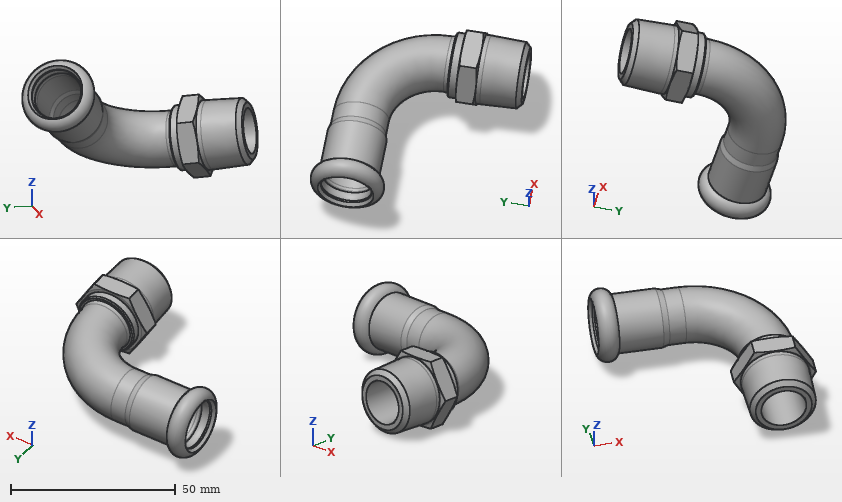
import cadquery as cq
import math

bend_start = 27.15
bend_radius = 22.8
outlet_x = bend_start + bend_radius
tube_diameter = 17.2
tube_bore = 14.2

socket_diameter = 18.3
socket_bore = 15.3
socket_end = 20.05
shoulder_end = 22.0
bead_diameter = 22.7
bead_round = 3.3
mouth_diameter = 17.35
mouth_depth = 1.2
lip_bore = 15.7
lip_end = 1.8
seal_crest_bore = 15.0
seal_end = 4.7
land_end = 5.25
land_taper_end = 6.2

collar_start = 24.2
collar_diameter = 20.0
collar_chamfer = 0.45
weld_diameter = 17.7
hex_start = 27.1
hex_end = 33.1
hex_flats = 22.1
hex_chamfer_angle = 15.0
thread_start = 34.5
thread_diameter = 21.3
thread_tip_diameter = 20.5
tip_chamfer_start = 45.5
tip_diameter = 17.4
outlet_end = 47.0
outlet_bore = 14.0


def socket_solid():
    """Socket with a rounded bead at its open end, revolved about X."""
    bead_centre_radius = bead_diameter / 2 - bead_round
    socket_radius = socket_diameter / 2
    rise = socket_radius - bead_centre_radius
    bead_end = bead_round + math.sqrt(bead_round**2 - rise**2)
    return (
        cq.Workplane("XY")
        .lineTo(0, bead_centre_radius)
        .threePointArc((bead_round, bead_diameter / 2), (bead_end, socket_radius))
        .lineTo(socket_end, socket_radius)
        .lineTo(shoulder_end, tube_diameter / 2)
        .lineTo(bend_start, tube_diameter / 2)
        .lineTo(bend_start, 0)
        .close()
        .revolve(360, (0, 0, 0), (1, 0, 0))
    )


def socket_cavity():
    """Socket bore with a flared mouth, an inward-bulging seal ring and a tube stop."""
    seal_middle = (lip_end + seal_end) / 2
    return (
        cq.Workplane("XY")
        .lineTo(0, mouth_diameter / 2)
        .lineTo(mouth_depth, lip_bore / 2)
        .lineTo(lip_end, lip_bore / 2)
        .threePointArc((seal_middle, seal_crest_bore / 2), (seal_end, lip_bore / 2))
        .lineTo(land_end, lip_bore / 2)
        .lineTo(land_taper_end, socket_bore / 2)
        .lineTo(socket_end, socket_bore / 2)
        .lineTo(shoulder_end, tube_bore / 2)
        .lineTo(bend_start, tube_bore / 2)
        .lineTo(bend_start, 0)
        .close()
        .revolve(360, (0, 0, 0), (1, 0, 0))
    )


def bend(diameter):
    """Quarter-turn round bar from the socket axis to the outlet axis."""
    return (
        cq.Workplane("YZ", origin=(bend_start, 0, 0))
        .circle(diameter / 2)
        .revolve(90, (-bend_radius, 0.6, 0), (-bend_radius, 0, 0))
    )


def turned_outlet(profile):
    """Revolve (radius, distance) points about the outlet axis."""
    points = [(outlet_x + radius, -distance) for radius, distance in profile]
    return cq.Workplane("XY").polyline(points).close().revolve(360, (outlet_x, 0, 0), (outlet_x, 1, 0))


def outlet_solid():
    """Weld flare, collar and tapered thread blank."""
    return turned_outlet([
        (0, bend_radius),
        (tube_diameter / 2, bend_radius),
        (weld_diameter / 2, collar_start),
        (collar_diameter / 2 - collar_chamfer, collar_start),
        (collar_diameter / 2, collar_start + collar_chamfer),
        (collar_diameter / 2, hex_start),
        (thread_diameter / 2, hex_start),
        (thread_diameter / 2, thread_start),
        (thread_tip_diameter / 2, tip_chamfer_start),
        (tip_diameter / 2, outlet_end),
        (0, outlet_end),
    ])


def hexagon():
    """Wrench hexagon with corners on X and chamfered on both faces."""
    corner_radius = hex_flats / math.sqrt(3)
    face_radius = hex_flats / 2
    drop = (corner_radius - face_radius) * math.tan(math.radians(hex_chamfer_angle))
    prism = (
        cq.Workplane("XZ", origin=(outlet_x, -hex_start, 0))
        .polygon(6, 2 * corner_radius)
        .extrude(hex_end - hex_start)
    )
    envelope = turned_outlet([
        (0, hex_start),
        (face_radius, hex_start),
        (corner_radius, hex_start + drop),
        (corner_radius, hex_end - drop),
        (face_radius, hex_end),
        (0, hex_end),
    ])
    return prism.intersect(envelope)


def outlet_cavity():
    """Straight bore through the outlet fitting."""
    return turned_outlet([
        (0, bend_radius),
        (outlet_bore / 2, bend_radius),
        (outlet_bore / 2, outlet_end),
        (0, outlet_end),
    ])


body = socket_solid().union(bend(tube_diameter)).union(outlet_solid()).union(hexagon())
result = body.cut(socket_cavity()).cut(bend(tube_bore)).cut(outlet_cavity())